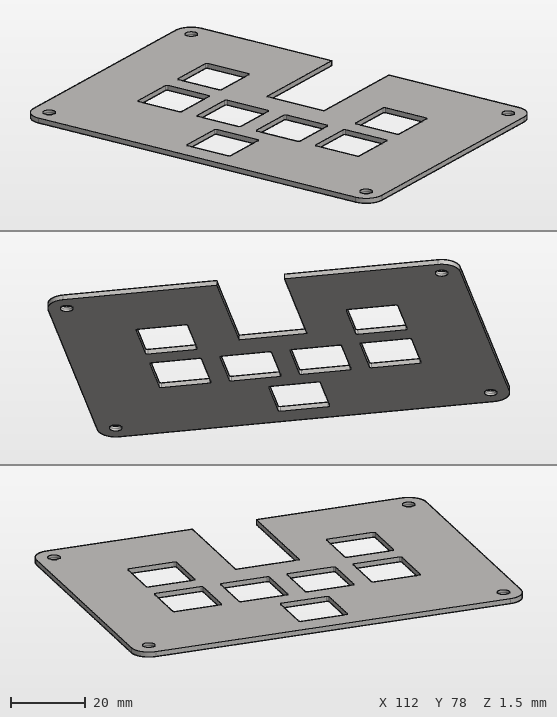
import cadquery as cq

plate_length = 112.0
plate_width = 78.0
plate_thickness = 1.5
corner_radius = 5.0

hole_diameter = 3.4
hole_spacing_x = plate_length - 2 * corner_radius
hole_spacing_y = plate_width - 2 * corner_radius

notch_width = 18.4
notch_depth = 31.0

key_size = 14.0
key_corner_radius = 0.5
key_pitch = 19.0
key_center_x = -0.41
key_row_y = -7.2

key_grid = [
    (-1.5, 1), (1.5, 1),
    (-1.5, 0), (-0.5, 0), (0.5, 0), (1.5, 0),
    (0, -1),
]


def make_plate():
    plate = cq.Workplane("XY").box(plate_length, plate_width, plate_thickness)
    return plate.edges("|Z").fillet(corner_radius)


def make_mounting_holes():
    return (
        cq.Workplane("XY")
        .rect(hole_spacing_x, hole_spacing_y, forConstruction=True)
        .vertices()
        .circle(hole_diameter / 2)
        .extrude(plate_thickness, both=True)
    )


def make_notch():
    notch_center_y = (plate_width - notch_depth) / 2
    return (
        cq.Workplane("XY")
        .center(0, notch_center_y)
        .rect(notch_width, notch_depth)
        .extrude(plate_thickness, both=True)
    )


def make_key_cutouts():
    centers = [
        (key_center_x + column * key_pitch, key_row_y + row * key_pitch)
        for column, row in key_grid
    ]
    cutouts = (
        cq.Workplane("XY")
        .pushPoints(centers)
        .rect(key_size, key_size)
        .extrude(plate_thickness, both=True)
    )
    return cutouts.edges("|Z").fillet(key_corner_radius)


result = make_plate().cut(make_mounting_holes()).cut(make_notch()).cut(make_key_cutouts())